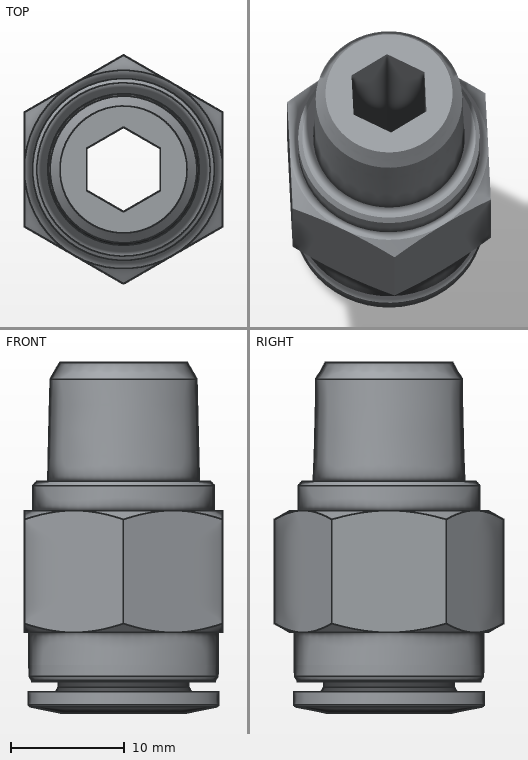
import cadquery as cq
import math

total_height = 30.9
sleeve_bevel_top = 0.6
sleeve_rim_bottom = 0.77
sleeve_flange_top = 1.92
neck_bottom = 2.3
body_bottom = 2.78
body_chamfer_bottom = 2.95
body_chamfer_top = 3.28
body_band_top = 4.25
hex_bottom = 7.15
hex_top = 17.85
collar_chamfer_height = 0.37
collar_top = 20.42
spigot_chamfer_height = 1.48

sleeve_face_diameter = 10.65
sleeve_bevel_diameter = 16.45
sleeve_flange_diameter = 16.8
neck_root_diameter = 11.93
neck_diameter = 11.53
body_end_diameter = 16.2
body_band_diameter = 16.62
body_diameter = 16.7
collar_diameter = 16.0
collar_top_diameter = 15.25
spigot_base_diameter = 13.35
spigot_neck_diameter = 12.92
spigot_end_diameter = 11.2

hex_across_flats = 17.45
hex_chamfer_angle = 30.0
socket_across_flats = 6.43


def hex_prism(across_flats, bottom, top):
    """Hexagonal prism with two flats normal to X."""
    across_corners = across_flats / math.cos(math.radians(30))
    return (
        cq.Workplane("XY", origin=(0, 0, bottom))
        .transformed(rotate=(0, 0, 30))
        .polygon(6, across_corners)
        .extrude(top - bottom)
    )


def turned_solid(sections):
    """Solid of revolution about Z from (diameter, height) pairs, bottom to top."""
    outline = [(diameter / 2, height) for diameter, height in sections]
    axis_bottom = (0, outline[0][1])
    axis_top = (0, outline[-1][1])
    return (
        cq.Workplane("XZ")
        .polyline([axis_bottom, *outline, axis_top])
        .close()
        .revolve(360, (0, 0, 0), (0, 1, 0))
    )


def wrench_hex():
    """Hexagon with its corners chamfered conically at both ends."""
    across_corners = hex_across_flats / math.cos(math.radians(30))
    corner_overhang = (across_corners - hex_across_flats) / 2
    chamfer_height = corner_overhang * math.tan(math.radians(hex_chamfer_angle))
    envelope = turned_solid([
        (hex_across_flats, hex_bottom),
        (across_corners, hex_bottom + chamfer_height),
        (across_corners, hex_top - chamfer_height),
        (hex_across_flats, hex_top),
    ])
    return hex_prism(hex_across_flats, hex_bottom, hex_top).intersect(envelope)


lower_body = turned_solid([
    (sleeve_face_diameter, 0),
    (sleeve_bevel_diameter, sleeve_bevel_top),
    (sleeve_flange_diameter, sleeve_rim_bottom),
    (sleeve_flange_diameter, sleeve_flange_top),
    (neck_root_diameter, sleeve_flange_top),
    (neck_diameter, neck_bottom),
    (neck_diameter, body_bottom),
    (body_end_diameter, body_bottom),
    (body_end_diameter, body_chamfer_bottom),
    (body_band_diameter, body_chamfer_top),
    (body_diameter, body_band_top),
    (body_diameter, hex_bottom),
])

upper_body = turned_solid([
    (collar_diameter, hex_top),
    (collar_diameter, collar_top - collar_chamfer_height),
    (collar_top_diameter, collar_top),
    (spigot_base_diameter, collar_top),
    (spigot_neck_diameter, total_height - spigot_chamfer_height),
    (spigot_end_diameter, total_height),
])

socket = hex_prism(socket_across_flats, 0, total_height)

result = wrench_hex().union(lower_body).union(upper_body).cut(socket)